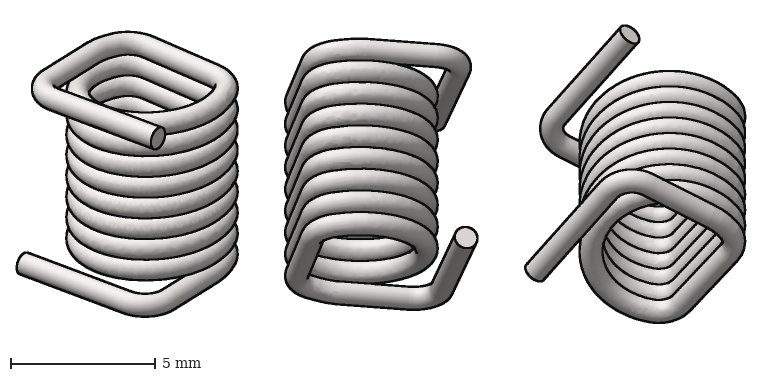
import cadquery as cq
import math

wire_diameter = 0.805
total_height = 7.75
coil_radius = 2.6
back_y = 1.635
corner_radius = 1.0
full_turns = 8

lead_y = -3.495
lead_end_x = 2.945

corner_y = back_y - corner_radius
corner_x = math.sqrt((coil_radius - corner_radius) ** 2 - corner_y**2)
corner_angle = math.atan2(corner_y, corner_x)
left_angle = math.pi - corner_angle

side_length = coil_radius * corner_angle
round_length = coil_radius * math.pi + 2 * side_length
bend_length = corner_radius * (math.pi / 2 - corner_angle)
flat_length = 2 * (bend_length + corner_x)
rise = total_height - wire_diameter
turn_length = round_length + flat_length
slope = rise / (full_turns * turn_length + flat_length + 2 * side_length)


def climbing_arc(center, radius, start, end, z):
    """Counterclockwise helical arc about a vertical axis; angles in radians."""
    pitch = slope * 2 * math.pi * radius
    height = slope * radius * (end - start)
    helix = cq.Wire.makeHelix(pitch, height, radius)
    helix = helix.rotate(cq.Vector(0, 0, 0), cq.Vector(0, 0, 1), math.degrees(start))
    return helix.translate(cq.Vector(center[0], center[1], z)).Edges()[0]


def easing_arc(start, end, z, start_slope, end_slope):
    """Short arc of the coil that eases between a level lead and the climbing coil."""
    middle = (start + end) / 2
    height = slope * coil_radius * (end - start)
    points = [
        cq.Vector(coil_radius * math.cos(a), coil_radius * math.sin(a), z + climb * height)
        for a, climb in ((start, 0), (middle, 0.5), (end, 1))
    ]
    tangents = [
        cq.Vector(-math.sin(a), math.cos(a), angle_slope).normalized()
        for a, angle_slope in ((start, start_slope), (end, end_slope))
    ]
    return cq.Edge.makeSpline(points, tangents=tangents)


def flat_back(z):
    """Right corner, straight back and left corner of one turn."""
    z_flat_start = z + slope * bend_length
    z_flat_end = z_flat_start + slope * 2 * corner_x
    return [
        climbing_arc((corner_x, corner_y), corner_radius, corner_angle, math.pi / 2, z),
        cq.Edge.makeLine(
            cq.Vector(corner_x, back_y, z_flat_start),
            cq.Vector(-corner_x, back_y, z_flat_end),
        ),
        climbing_arc((-corner_x, corner_y), corner_radius, math.pi / 2, left_angle, z_flat_end),
    ]


def lead(side, z):
    """Level lead from the coil side (+1 right, -1 left), bent across the front to its cut end."""
    bend_y = lead_y + corner_radius
    bend_x = side * (coil_radius - corner_radius)
    diagonal = corner_radius * math.sqrt(0.5)
    coil_side = cq.Vector(side * coil_radius, 0, z)
    bend_start = cq.Vector(side * coil_radius, bend_y, z)
    bend_middle = cq.Vector(bend_x + side * diagonal, bend_y - diagonal, z)
    bend_end = cq.Vector(bend_x, lead_y, z)
    cut_end = cq.Vector(-side * lead_end_x, lead_y, z)
    return [
        cq.Edge.makeLine(coil_side, bend_start),
        cq.Edge.makeThreePointArc(bend_start, bend_middle, bend_end),
        cq.Edge.makeLine(bend_end, cut_end),
    ]


bottom_z = -rise / 2
top_z = rise / 2
axis = (0, 0)
next_corner_angle = 2 * math.pi + corner_angle
path_edges = lead(1, bottom_z)
path_edges.append(easing_arc(0, corner_angle, bottom_z, 0, slope))
for turn in range(full_turns + 1):
    z_flat = bottom_z + slope * (side_length + turn * turn_length)
    z_round = z_flat + slope * flat_length
    path_edges += flat_back(z_flat)
    if turn < full_turns:
        path_edges.append(climbing_arc(axis, coil_radius, left_angle, next_corner_angle, z_round))
    else:
        path_edges.append(easing_arc(left_angle, math.pi, z_round, slope, 0))
path_edges += lead(-1, top_z)
path = cq.Wire.assembleEdges(path_edges)

cut_plane = cq.Plane(origin=(-lead_end_x, lead_y, bottom_z), xDir=(0, 1, 0), normal=(1, 0, 0))
result = cq.Workplane(cut_plane).circle(wire_diameter / 2).sweep(path)